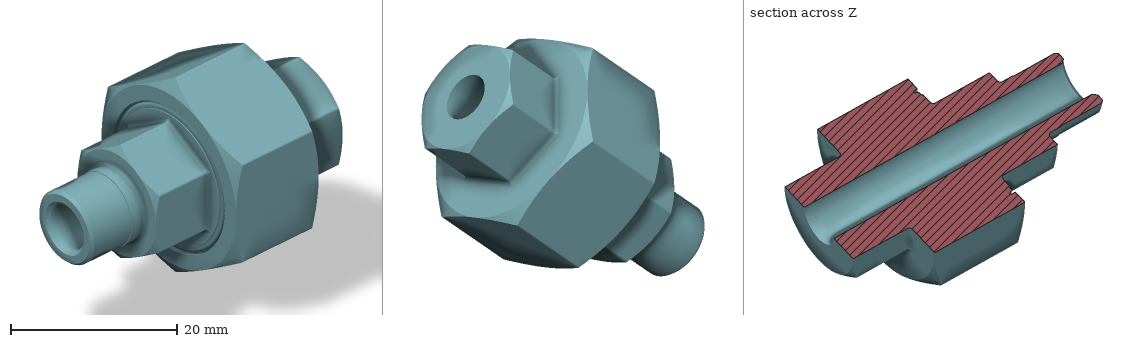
import cadquery as cq
import math


collar_start = 6.5
front_hex_start = 8.5
nut_start = 17.0
nut_end = 30.5
nut_middle = (nut_start + nut_end) / 2

nut_flats = 24.0
body_flats = 14.0
hex_edge_radius = 0.3
hex_chamfer_angle = 30.0
hex_base_fillet = 0.5

spigot_diameter = 9.73
spigot_chamfer_width = 0.35
spigot_chamfer_length = 0.4
collar_diameter = 9.93
collar_fillet = 0.5
bore_diameter = 6.0
bore_chamfer = 0.5

mouth_diameter = 20.0
mouth_depth = 0.6
shoulder_diameter = 19.4
shoulder_edge_radius = 0.35
shoulder_face_diameter = 18.0
ledge_depth = 0.15

axis_start = (0, 0, 0)
axis_end = (0, 1, 0)


def disc(diameter, start, end):
    """Cylinder on the Y axis from station start to station end."""
    return cq.Workplane("XZ", origin=(0, start, 0)).circle(diameter / 2).extrude(start - end)


def hexagon_from_slab(slab):
    """Common volume of a slab lying across X and its two copies turned by 60 degrees."""
    turned = [slab.rotate(axis_start, axis_end, angle) for angle in (60, 120)]
    return slab.intersect(turned[0]).intersect(turned[1])


def corner_chamfer(flats, face, inward):
    """Ring that chamfers the corners of a hexagon at an end face; inward is +1 or -1 along Y."""
    inner_radius = flats / 2
    outer_radius = flats
    depth = (outer_radius - inner_radius) * math.tan(math.radians(hex_chamfer_angle))
    section = (
        cq.Workplane("XY")
        .moveTo(inner_radius, face)
        .lineTo(outer_radius, face)
        .lineTo(outer_radius, face + inward * depth)
        .close()
    )
    return section.revolve(360, axis_start, axis_end)


def make_nut():
    """Large coupling nut with chamfered corners at both ends."""
    slab = cq.Workplane("XY").box(nut_flats, nut_end - nut_start, 2 * nut_flats)
    nut = hexagon_from_slab(slab.translate((0, nut_middle, 0)))
    nut = nut.edges("|Y").fillet(hex_edge_radius)
    nut = nut.cut(corner_chamfer(nut_flats, nut_start, 1))
    return nut.cut(corner_chamfer(nut_flats, nut_end, -1))


def make_front_hex():
    """Body hexagon whose flats flare out into the shoulder with mitred corners."""
    half = body_flats / 2
    flare_half = half + hex_base_fillet
    flare_start = nut_start - hex_base_fillet
    arc_drop = hex_base_fillet * math.sqrt(0.5)
    arc_x = flare_half - arc_drop
    arc_y = flare_start + arc_drop
    slab = (
        cq.Workplane("XY", origin=(0, 0, -body_flats))
        .moveTo(-half, front_hex_start)
        .lineTo(half, front_hex_start)
        .lineTo(half, flare_start)
        .threePointArc((arc_x, arc_y), (flare_half, nut_start))
        .lineTo(flare_half, nut_middle)
        .lineTo(-flare_half, nut_middle)
        .lineTo(-flare_half, nut_start)
        .threePointArc((-arc_x, arc_y), (-half, flare_start))
        .close()
        .extrude(2 * body_flats)
    )
    hexagon = hexagon_from_slab(slab)
    hexagon = hexagon.edges("|Y").edges("<Y").fillet(hex_edge_radius)
    return hexagon.cut(corner_chamfer(body_flats, front_hex_start, 1))


def make_mouth():
    """Recess in the nut face around the stepped, rounded shoulder of the body."""
    recess = disc(mouth_diameter, nut_start, nut_start + mouth_depth)
    ledge = nut_start + ledge_depth
    shoulder = disc(shoulder_diameter, ledge, nut_start + 2 * mouth_depth)
    shoulder = shoulder.faces("<Y").edges().fillet(shoulder_edge_radius)
    return recess.cut(shoulder).cut(disc(shoulder_face_diameter, nut_start, ledge))


def make_spigot():
    """Chamfered spigot and the wider collar that flares into the front hexagon."""
    spigot = disc(spigot_diameter, 0, collar_start)
    spigot = spigot.faces("<Y").chamfer(spigot_chamfer_length, spigot_chamfer_width)
    root_radius = collar_diameter / 2 + collar_fillet
    flare = (
        cq.Workplane("XY")
        .moveTo(0, collar_start)
        .lineTo(collar_diameter / 2, collar_start)
        .lineTo(collar_diameter / 2, front_hex_start - collar_fillet)
        .radiusArc((root_radius, front_hex_start), collar_fillet)
        .lineTo(0, front_hex_start)
        .close()
        .revolve(360, axis_start, axis_end)
    )
    return spigot.union(flare)


def make_bore(length):
    """Through bore with a conical countersink at the spigot tip."""
    bore_radius = bore_diameter / 2
    return (
        cq.Workplane("XY")
        .moveTo(0, 0)
        .lineTo(bore_radius + bore_chamfer, 0)
        .lineTo(bore_radius, bore_chamfer)
        .lineTo(bore_radius, length)
        .lineTo(0, length)
        .close()
        .revolve(360, axis_start, axis_end)
    )


front_hex = make_front_hex()
back_hex = front_hex.mirror("XZ").translate((0, 2 * nut_middle, 0))
total_length = 2 * nut_middle - front_hex_start

result = make_nut().cut(make_mouth())
for body_section in (front_hex, back_hex, make_spigot()):
    result = result.union(body_section)
result = result.cut(make_bore(total_length))